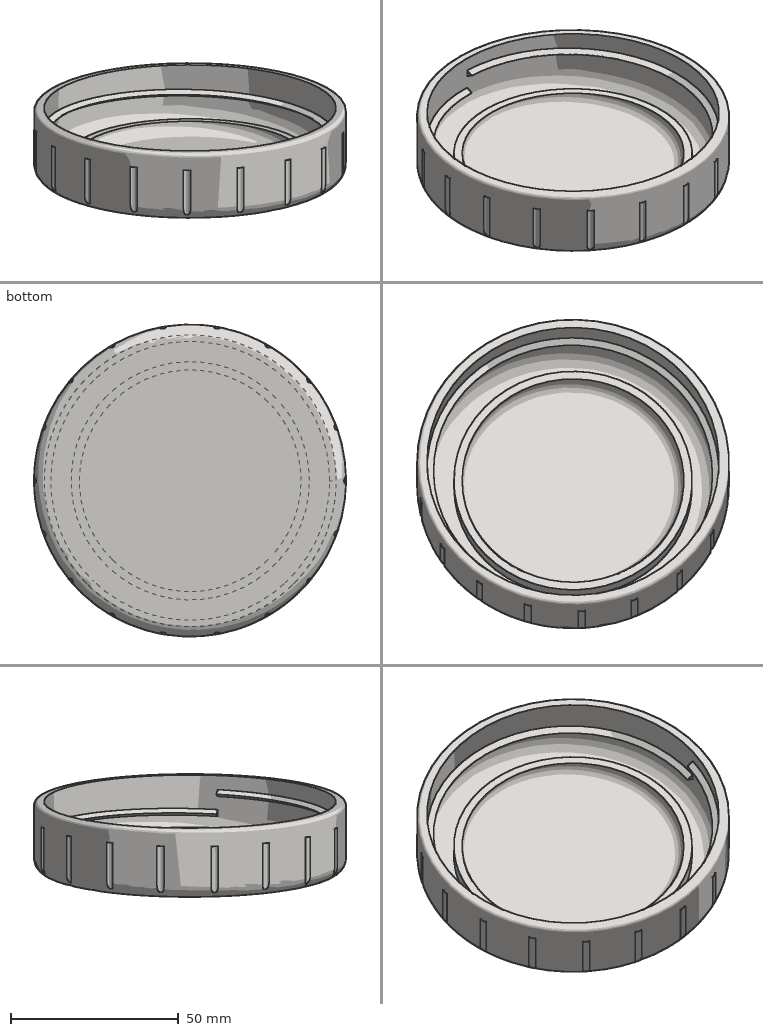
import cadquery as cq
import math

outer_radius = 46.5
cap_height = 21.0
bottom_fillet = 4.0
rim_fillet = 1.2

bore_radius = 87.0 / 2
floor_height = 2.0
corner_fillet = 6.5

ring_outer_radius = 71.0 / 2
ring_inner_radius = 66 / 2
panel_height = 3.0
panel_fillet = 3.7
ring_top = panel_height + panel_fillet

flute_count = 18
flute_radius = 1.2
flute_depth = 0.65
flute_top = 15.9

thread_pitch = 6.0
thread_start = 9.7
thread_depth = 1.95
thread_height = 2.0
thread_overlap = 0.4

UP_AND_OUT = 45
DOWN_AND_OUT = -45


def arc_point(centre, radius, angle):
    """Point on an arc at the given angle in degrees."""
    turn = math.radians(angle)
    return (centre[0] + radius * math.cos(turn), centre[1] + radius * math.sin(turn))


def make_body():
    """Revolve the cup section, drawn in the XZ plane as (radius, height)."""
    base_centre = (outer_radius - bottom_fillet, bottom_fillet)
    rim_centre = (outer_radius - rim_fillet, cap_height - rim_fillet)
    corner_centre = (bore_radius - corner_fillet, floor_height + corner_fillet)
    panel_centre = (ring_inner_radius - panel_fillet, ring_top)

    base_middle = arc_point(base_centre, bottom_fillet, DOWN_AND_OUT)
    rim_middle = arc_point(rim_centre, rim_fillet, UP_AND_OUT)
    corner_middle = arc_point(corner_centre, corner_fillet, DOWN_AND_OUT)
    panel_middle = arc_point(panel_centre, panel_fillet, DOWN_AND_OUT)

    section = (
        cq.Workplane("XZ")
        .lineTo(base_centre[0], 0)
        .threePointArc(base_middle, (outer_radius, bottom_fillet))
        .lineTo(outer_radius, rim_centre[1])
        .threePointArc(rim_middle, (rim_centre[0], cap_height))
        .lineTo(bore_radius, cap_height)
        .lineTo(bore_radius, corner_centre[1])
        .threePointArc(corner_middle, (corner_centre[0], floor_height))
        .lineTo(ring_outer_radius, floor_height)
        .lineTo(ring_outer_radius, ring_top)
        .lineTo(ring_inner_radius, ring_top)
        .threePointArc(panel_middle, (panel_centre[0], panel_height))
        .lineTo(0, panel_height)
        .close()
    )
    return section.revolve(360, (0, 0, 0), (0, 1, 0))


def make_flutes():
    """Round vertical cutters spaced evenly around the outer wall."""
    centre_radius = outer_radius + flute_radius - flute_depth
    return (
        cq.Workplane("XY")
        .polarArray(centre_radius, 0, 360, flute_count)
        .circle(flute_radius)
        .extrude(flute_top)
    )


def make_thread():
    """One right-handed turn of V-shaped thread that starts on the +X side."""
    crest_radius = bore_radius - thread_depth
    root_radius = bore_radius + thread_overlap
    root_half_height = thread_height / 2 * (thread_depth + thread_overlap) / thread_depth
    path = cq.Wire.makeHelix(thread_pitch, thread_pitch, bore_radius, cq.Vector(0, 0, thread_start))
    profile = (
        cq.Workplane("XZ")
        .moveTo(root_radius, thread_start - root_half_height)
        .lineTo(root_radius, thread_start + root_half_height)
        .lineTo(crest_radius, thread_start)
        .close()
    )
    return profile.sweep(cq.Workplane(obj=path), isFrenet=True)


result = make_body().cut(make_flutes()).union(make_thread())